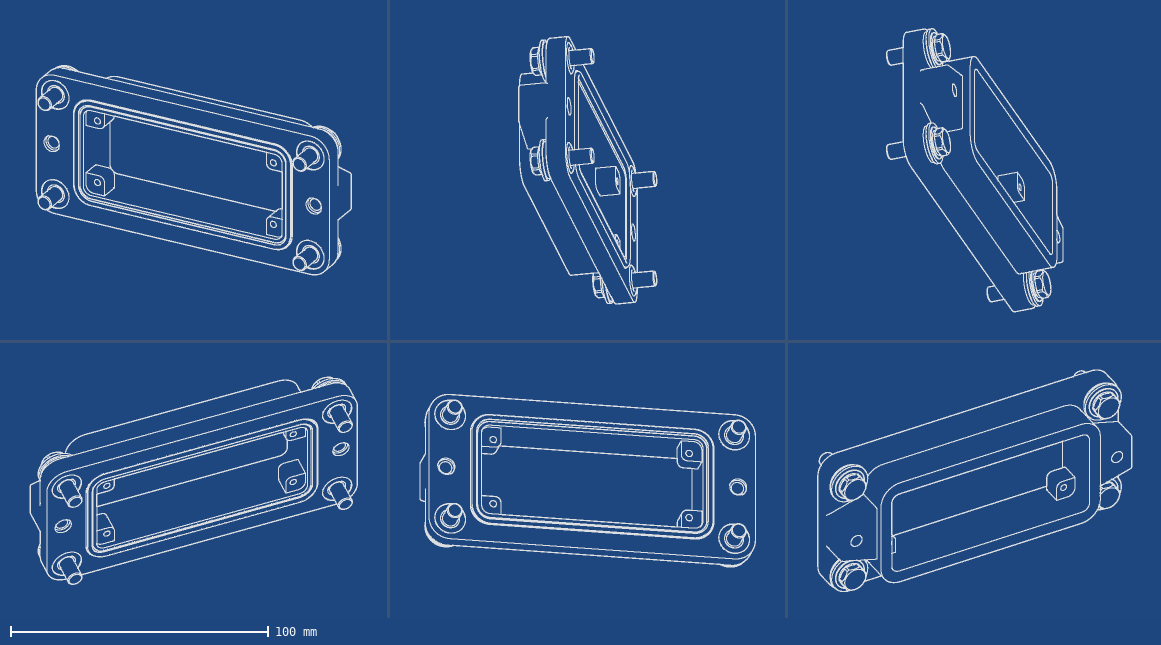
import cadquery as cq
import math

LENGTH = 129.5
HEIGHT = 60.0
CORNER_RADIUS = 8.3
PLATE_DEPTH = 7.9
EDGE_RADIUS = 0.9

SLEEVE_LENGTH = 97.4
SLEEVE_HEIGHT = 47.4
SLEEVE_RADIUS = 8.5
SLEEVE_BACK = 21.9
OPENING_LENGTH = 87.8
OPENING_HEIGHT = 36.8
OPENING_RADIUS = 3.4

GROOVE_MARGIN = 1.5
GROOVE_WIDTH = 2.8
GROOVE_DEPTH = 0.5
CORD_LENGTH = 93.8
CORD_HEIGHT = 43.3
CORD_RADIUS = 0.9
CORD_PROUD = 1.2
CORD_BEND = 6.5

BLOCK_SIZE = 8.2
BLOCK_RADIUS = 2.5
BLOCK_FRONT = 2.2
BLOCK_DEPTH = 8.0
BLOCK_HOLE_RADIUS = 1.3
BLOCK_HOLE_INSET = 5.0

BOSS_BACK = 18.8
BOSS_TIP_HALF_WIDTH = 7.9
BOSS_ROOT_HALF_WIDTH = 12.3
BOSS_HOLE_X = 57.9
BOSS_HOLE_RADIUS = 2.5
COUNTERBORE_RADIUS = 3.4
COUNTERBORE_DEPTH = 1.5

SCREW_X = 56.3
SCREW_Z = 21.5
SHANK_RADIUS = 3.0
SHANK_TIP = -9.1
SHANK_CHAMFER = 0.4
SEAL_INNER_RADIUS = 3.8
SEAL_OUTER_RADIUS = 6.1
SEAL_PROUD = 0.58
WASHER_SEAT_RADIUS = 7.3
WASHER_SEAT_BACK = 9.3
WASHER_RADIUS = 8.0
WASHER_BACK = 10.5
HEAD_FLANGE_RADIUS = 6.3
HEAD_FLANGE_BACK = 10.9
HEAD_NECK_RADIUS = 4.9
HEAD_NECK_BACK = 11.8
HEAD_BACK = 14.9
HEAD_ACROSS_FLATS = 9.8
HEAD_CORNER_RADIUS = 5.5
HEAD_CHAMFER = 0.8

SIDES = (-1, 1)


def at_depth(y):
    """Workplane facing +Y at depth y; its local axes are (-X, Z)."""
    return cq.Workplane(cq.Plane(origin=(0, y, 0), xDir=(-1, 0, 0), normal=(0, 1, 0)))


def cylinder(radius, front, back, x=0, z=0):
    return at_depth(front).center(-x, z).circle(radius).extrude(back - front)


def rounded_block(length, height, radius, front, back):
    return at_depth(front).rect(length, height).extrude(back - front).edges("|Y").fillet(radius)


def make_plate():
    plate = rounded_block(LENGTH, HEIGHT, CORNER_RADIUS, 0, PLATE_DEPTH)
    return plate.faces(">Y").edges().fillet(EDGE_RADIUS)


def make_boss(side):
    """Tapered boss from the sleeve out to one end of the plate."""
    tip = LENGTH / 2
    root = (OPENING_LENGTH + SLEEVE_LENGTH) / 4
    sleeve_end = SLEEVE_LENGTH / 2
    slope = (BOSS_ROOT_HALF_WIDTH - BOSS_TIP_HALF_WIDTH) / (tip - sleeve_end)
    root_half_width = BOSS_TIP_HALF_WIDTH + slope * (tip - root)
    outline = [
        (tip, BOSS_TIP_HALF_WIDTH),
        (root, root_half_width),
        (root, -root_half_width),
        (tip, -BOSS_TIP_HALF_WIDTH),
    ]
    boss = at_depth(0).polyline([(-side * x, z) for x, z in outline]).close().extrude(BOSS_BACK)
    tip_face = ">X" if side > 0 else "<X"
    boss = boss.faces(tip_face).edges("|Y").fillet(EDGE_RADIUS)
    return boss.faces(">Y").edges().fillet(EDGE_RADIUS)


def make_boss_hole(side):
    x = side * BOSS_HOLE_X
    hole = cylinder(BOSS_HOLE_RADIUS, 0, BOSS_BACK, x)
    return hole.union(cylinder(COUNTERBORE_RADIUS, 0, COUNTERBORE_DEPTH, x))


def grown_opening(margin, depth):
    """Block from the plate front back, larger than the opening by margin on every side."""
    return rounded_block(
        OPENING_LENGTH + 2 * margin, OPENING_HEIGHT + 2 * margin, OPENING_RADIUS + margin, 0, depth)


def make_groove():
    outside = grown_opening(GROOVE_MARGIN + GROOVE_WIDTH, GROOVE_DEPTH)
    return outside.cut(grown_opening(GROOVE_MARGIN, GROOVE_DEPTH))


def make_gasket():
    """Round cord bent into a rounded rectangle, standing out of its groove."""
    depth = CORD_RADIUS - CORD_PROUD
    half_length = CORD_LENGTH / 2
    half_height = CORD_HEIGHT / 2
    quarter = CORD_BEND * (1 - math.sqrt(0.5))
    x, z = half_length - CORD_BEND, half_height - CORD_BEND
    path = (
        at_depth(depth).moveTo(0, half_height)
        .lineTo(x, half_height)
        .threePointArc((half_length - quarter, half_height - quarter), (half_length, z))
        .lineTo(half_length, -z)
        .threePointArc((half_length - quarter, quarter - half_height), (x, -half_height))
        .lineTo(-x, -half_height)
        .threePointArc((quarter - half_length, quarter - half_height), (-half_length, -z))
        .lineTo(-half_length, z)
        .threePointArc((quarter - half_length, half_height - quarter), (-x, half_height))
        .close()
    )
    return cq.Workplane("YZ", origin=(0, depth, half_height)).circle(CORD_RADIUS).sweep(path)


def make_corner_block(x_side, z_side):
    half_length = OPENING_LENGTH / 2
    half_height = OPENING_HEIGHT / 2
    reach = OPENING_RADIUS / 2
    size = BLOCK_SIZE + reach
    x = x_side * (half_length + reach - size / 2)
    z = z_side * (half_height + reach - size / 2)
    block = at_depth(BLOCK_FRONT).center(-x, z).rect(size, size).extrude(BLOCK_DEPTH)
    inner_x_face = "<X" if x_side > 0 else ">X"
    inner_z_edge = "<Z" if z_side > 0 else ">Z"
    block = block.faces(inner_x_face).edges(inner_z_edge).fillet(BLOCK_RADIUS)
    hole = cylinder(
        BLOCK_HOLE_RADIUS, BLOCK_FRONT, BLOCK_FRONT + BLOCK_DEPTH,
        x_side * (half_length - BLOCK_HOLE_INSET), z_side * (half_height - BLOCK_HOLE_INSET),
    )
    return block.cut(hole)


def make_screw():
    """Screw, washers and sealing ring on the Y axis."""
    shank = cylinder(SHANK_RADIUS, SHANK_TIP, PLATE_DEPTH).faces("<Y").chamfer(SHANK_CHAMFER)
    washer_seat = cylinder(WASHER_SEAT_RADIUS, PLATE_DEPTH, WASHER_SEAT_BACK)
    washer = cylinder(WASHER_RADIUS, WASHER_SEAT_BACK, WASHER_BACK)
    flange = cylinder(HEAD_FLANGE_RADIUS, WASHER_BACK, HEAD_FLANGE_BACK)
    neck = cylinder(HEAD_NECK_RADIUS, HEAD_FLANGE_BACK, HEAD_NECK_BACK)

    across_corners = HEAD_ACROSS_FLATS / math.cos(math.pi / 6)
    head = at_depth(HEAD_NECK_BACK).polygon(6, across_corners).extrude(HEAD_BACK - HEAD_NECK_BACK)
    turned = cylinder(HEAD_CORNER_RADIUS, HEAD_NECK_BACK, HEAD_BACK)
    turned = turned.faces(">Y").chamfer(HEAD_CHAMFER)
    head = head.intersect(turned)

    ring_radius = (SEAL_OUTER_RADIUS - SEAL_INNER_RADIUS) / 2
    seal = cq.Workplane(cq.Solid.makeTorus(
        SEAL_INNER_RADIUS + ring_radius, ring_radius,
        cq.Vector(0, ring_radius - SEAL_PROUD, 0), cq.Vector(0, 1, 0),
    ))
    return shank.union(washer_seat).union(washer).union(flange).union(neck).union(head).union(seal)


body = make_plate().union(
    rounded_block(SLEEVE_LENGTH, SLEEVE_HEIGHT, SLEEVE_RADIUS, 0, SLEEVE_BACK))
for side in SIDES:
    body = body.union(make_boss(side))
body = body.cut(grown_opening(0, SLEEVE_BACK))
for side in SIDES:
    body = body.cut(make_boss_hole(side))

body = body.cut(make_groove())
body = body.union(make_gasket())

seal_depth = (SEAL_OUTER_RADIUS - SEAL_INNER_RADIUS) / 2 - SEAL_PROUD
screw = make_screw()
for x_side in SIDES:
    for z_side in SIDES:
        x = x_side * SCREW_X
        z = z_side * SCREW_Z
        body = body.union(make_corner_block(x_side, z_side))
        body = body.cut(cylinder(SEAL_OUTER_RADIUS, 0, seal_depth, x, z))
        body = body.union(screw.translate((x, 0, z)))

result = body